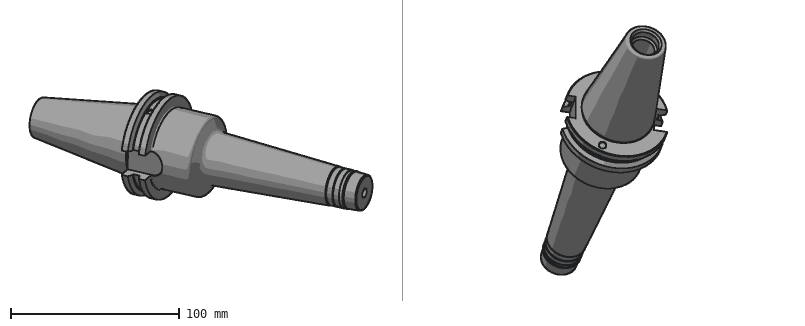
import cadquery as cq
import math

total_length = 218.3
gauge_line = 68.3
relief_start = 70.0
flange_start = 71.4
flange_end = 87.3
body_fillet_start = 112.0
shoulder_fillet_start = 117.2
neck_start = 120.5
mark_step = 198.2

gauge_radius = 22.3
taper_slope = 7 / 48
flange_diameter = 63.5
flange_radius = flange_diameter / 2
body_radius = 24.9
neck_radius = 16.2
neck_angle = 3.0
neck_slope = math.tan(math.radians(neck_angle))

tail_round = 1.0
relief_depth = 0.5
flange_chamfer = 0.5
collar_fillet = 1.0
body_fillet = 2.2
body_fillet_sweep = 75.0
shoulder_fillet = 4.4
shoulder_radius = 18.0
nose_chamfer = 0.7

groove_center = 79.5
groove_floor_width = 4.1
groove_floor_radius = 28.0
groove_wall_angle = 30.0
groove_bevel_depth = 2.8

mark_radius = 11.8
mark_chamfer = 0.7
score_start = 202.8
score_width = 0.7
score_depth = 0.33
band_end = 207.1
ring_start = 209.3
ring_depth = 0.33
ring_width = 1.0

slot_width = 16.2
front_slot_floor = 22.5
back_slot_floor = 25.3
slot_round_center = 87.7

coolant_diameter = 4.4
coolant_offset_radius = 26.8
coolant_angle = 19.7
coolant_tilt = 35.0
coolant_depth = 7.6
plug_diameter = 4.0
plug_seat_radius = 26.6

mouth_radius = 9.5
counterbore_radius = 8.3
counterbore_depth = 5.7
thread_radius = 7.0
thread_end = 31.9
step_radius = 4.0
passage_radius = 2.8
passage_start = 43.7


def neck_radius_at(x):
    """Radius of the tapered neck at station x."""
    return neck_radius - (x - neck_start) * neck_slope


def turned_body():
    """Outer profile revolved about X."""
    tail_radius = gauge_radius - (gauge_line - tail_round) * taper_slope
    bevel_radius = flange_radius - groove_bevel_depth
    bevel_run = groove_bevel_depth * math.tan(math.radians(groove_wall_angle))
    floor_half = groove_floor_width / 2
    sweep = math.radians(body_fillet_sweep)
    body_fillet_end = (
        body_fillet_start + body_fillet * math.sin(sweep),
        body_radius - body_fillet * (1 - math.cos(sweep)),
    )
    score_middle = score_start + score_width / 2
    ring_end = ring_start + ring_width
    ring_floor_radius = mark_radius - ring_depth
    profile = (
        cq.Workplane("XZ")
        .moveTo(0, 0)
        .lineTo(0, tail_radius - tail_round)
        .radiusArc((tail_round, tail_radius), tail_round)
        .lineTo(gauge_line, gauge_radius)
        .lineTo(relief_start, gauge_radius)
        .lineTo(relief_start + relief_depth, gauge_radius - relief_depth)
        .lineTo(flange_start, gauge_radius - relief_depth)
        .lineTo(flange_start, flange_radius - flange_chamfer)
        .lineTo(flange_start + flange_chamfer, flange_radius)
        .lineTo(groove_center - floor_half - bevel_run, flange_radius)
        .lineTo(groove_center - floor_half, bevel_radius)
        .lineTo(groove_center - floor_half, groove_floor_radius)
        .lineTo(groove_center + floor_half, groove_floor_radius)
        .lineTo(groove_center + floor_half, bevel_radius)
        .lineTo(groove_center + floor_half + bevel_run, flange_radius)
        .lineTo(flange_end, flange_radius)
        .lineTo(flange_end, body_radius + collar_fillet)
        .radiusArc((flange_end + collar_fillet, body_radius), -collar_fillet)
        .lineTo(body_fillet_start, body_radius)
        .radiusArc(body_fillet_end, body_fillet)
        .lineTo(shoulder_fillet_start, shoulder_radius)
        .radiusArc((neck_start, neck_radius), -shoulder_fillet)
        .lineTo(mark_step, neck_radius_at(mark_step))
        .lineTo(mark_step + mark_chamfer, mark_radius)
        .lineTo(score_start, mark_radius)
        .lineTo(score_middle, mark_radius - score_depth)
        .lineTo(score_start + score_width, mark_radius)
        .lineTo(band_end, mark_radius)
        .lineTo(band_end, ring_floor_radius)
        .lineTo(ring_start, ring_floor_radius)
        .lineTo(ring_start + ring_depth, mark_radius)
        .lineTo(ring_end, neck_radius_at(ring_end))
        .lineTo(total_length - nose_chamfer, neck_radius_at(total_length))
        .lineTo(total_length, neck_radius_at(total_length) - nose_chamfer)
        .lineTo(total_length, 0)
        .close()
    )
    return profile.revolve(360, (0, 0, 0), (1, 0, 0))


def axial_bore():
    """Pull-stud bore, its drill point and the narrow passage through the nose."""
    mouth_chamfer = mouth_radius - counterbore_radius
    profile = (
        cq.Workplane("XZ")
        .moveTo(0, 0)
        .lineTo(0, mouth_radius)
        .lineTo(mouth_chamfer, counterbore_radius)
        .lineTo(counterbore_depth, counterbore_radius)
        .lineTo(counterbore_depth + counterbore_radius - thread_radius, thread_radius)
        .lineTo(thread_end, thread_radius)
        .lineTo(thread_end + thread_radius - step_radius, step_radius)
        .lineTo(passage_start, step_radius)
        .lineTo(passage_start, passage_radius)
        .lineTo(total_length, passage_radius)
        .lineTo(total_length, 0)
        .close()
    )
    return profile.revolve(360, (0, 0, 0), (1, 0, 0))


def drive_slot(floor, side):
    """Slot cut in from the flange face on one side of Y, rounded at its inner end."""
    straight = slot_round_center - flange_start
    depth = flange_radius
    slot = cq.Workplane("XY").box(straight, depth, slot_width, centered=(False, False, True))
    slot = slot.translate((flange_start, floor, 0))
    round_end = (
        cq.Workplane("XZ", origin=(slot_round_center, floor, 0))
        .circle(slot_width / 2)
        .extrude(-depth)
    )
    slot = slot.union(round_end)
    if side < 0:
        slot = slot.mirror("XZ")
    return slot


def coolant_hole(angle):
    """Blind hole slanting inward from the flange face, and the round plug seat in the V-groove."""
    tilt = math.radians(coolant_tilt)
    inward = cq.Vector(math.cos(tilt), 0, -math.sin(tilt))
    mouth = cq.Vector(flange_start, 0, coolant_offset_radius)
    start = mouth - inward * coolant_diameter
    slanted = cq.Workplane(
        cq.Solid.makeCylinder(coolant_diameter / 2, coolant_diameter + coolant_depth, start, inward)
    )
    plug_seat = (
        cq.Workplane("XY", origin=(groove_center, 0, plug_seat_radius))
        .circle(plug_diameter / 2)
        .extrude(flange_radius - plug_seat_radius)
    )
    return slanted.union(plug_seat).rotate((0, 0, 0), (1, 0, 0), angle)


result = turned_body().cut(axial_bore())
result = result.cut(drive_slot(front_slot_floor, -1)).cut(drive_slot(back_slot_floor, 1))
for half_turn in (0, 180):
    result = result.cut(coolant_hole(coolant_angle + half_turn))